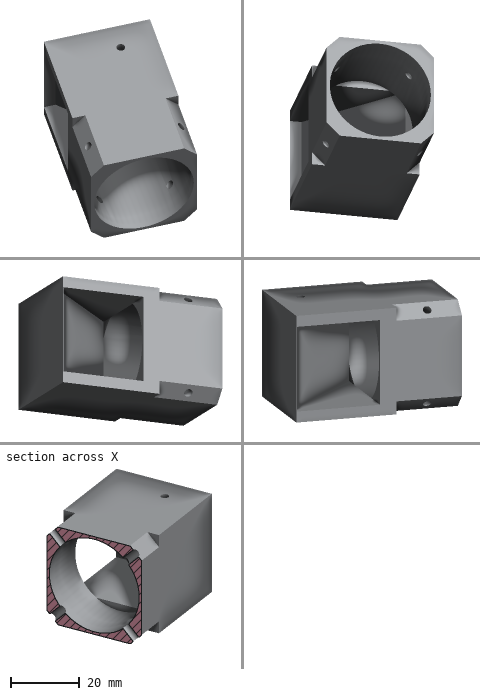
import cadquery as cq

LENGTH = 50.6
WIDTH = 32.0
FOIL_THICKNESS = 0.2
OUTER_X = LENGTH / 2
OUTER_Y = WIDTH / 2
HOUSING_START_X = -OUTER_X + FOIL_THICKNESS

PRISM_LEG = 25.4
PRISM_CENTER_Y = 0.15
PRISM_HALF = PRISM_LEG / 2
PRISM_FRONT_Y = PRISM_CENTER_Y - PRISM_HALF
PRISM_BACK_Y = PRISM_CENTER_Y + PRISM_HALF
CAVITY_END_X = HOUSING_START_X + PRISM_LEG

RELIEF_RADIUS = 1.5
RELIEF_Z = PRISM_HALF - RELIEF_RADIUS

BORE_DIAMETER = 30.0

CHAMFER_LENGTH = 20.0
CHAMFER_LEG = 3.9
SCREW_DIAMETER = 2.55
SCREW_X = OUTER_X - CHAMFER_LENGTH / 2

CLAMP_X = -17.15
CLAMP_Y = 4.9


def make_prism():
    """Right-angle prism with its sloping face toward the window and the bore."""
    return (
        cq.Workplane("XY", origin=(0, 0, -PRISM_HALF))
        .moveTo(HOUSING_START_X, PRISM_FRONT_Y)
        .lineTo(CAVITY_END_X, PRISM_BACK_Y)
        .lineTo(HOUSING_START_X, PRISM_BACK_Y)
        .close()
        .extrude(PRISM_LEG)
    )


def make_foil():
    """Thin square sheet that closes the -X end of the housing."""
    return cq.Workplane("YZ", origin=(-OUTER_X, 0, 0)).rect(WIDTH, WIDTH).extrude(FOIL_THICKNESS)


def make_cavity():
    """Space open at -X and -Y, including the two reliefs in its back wall."""
    cavity = cq.Workplane("XY").box(
        PRISM_LEG, OUTER_Y + PRISM_BACK_Y, PRISM_LEG, centered=(False, False, True)
    ).translate((HOUSING_START_X, -OUTER_Y, 0))
    reliefs = (
        cq.Workplane("YZ", origin=(HOUSING_START_X, 0, 0))
        .pushPoints([(PRISM_BACK_Y, -RELIEF_Z), (PRISM_BACK_Y, RELIEF_Z)])
        .circle(RELIEF_RADIUS)
        .extrude(PRISM_LEG)
    )
    return cavity.union(reliefs)


def make_corner_cutter():
    """Triangular bar that removes the +Y +Z corner at the bore end."""
    return (
        cq.Workplane("YZ", origin=(OUTER_X - CHAMFER_LENGTH, 0, 0))
        .moveTo(OUTER_Y, OUTER_Y)
        .lineTo(OUTER_Y - CHAMFER_LEG, OUTER_Y)
        .lineTo(OUTER_Y, OUTER_Y - CHAMFER_LEG)
        .close()
        .extrude(CHAMFER_LENGTH)
    )


def make_screw_cutter():
    """Radial hole from the bore axis out through the +Y +Z corner."""
    return cq.Workplane(
        cq.Plane(origin=(SCREW_X, 0, 0), xDir=(1, 0, 0), normal=(0, 1, 1))
    ).circle(SCREW_DIAMETER / 2).extrude(WIDTH)


def make_housing():
    """Block with prism cavity, lens bore, chamfered corners and screw holes."""
    housing = cq.Workplane("XY").box(
        LENGTH - FOIL_THICKNESS, WIDTH, WIDTH, centered=(False, True, True)
    ).translate((HOUSING_START_X, 0, 0))
    housing = housing.cut(make_cavity())

    bore = (
        cq.Workplane("YZ", origin=(CAVITY_END_X, 0, 0))
        .circle(BORE_DIAMETER / 2)
        .extrude(OUTER_X - CAVITY_END_X)
    )
    housing = housing.cut(bore)

    corner = make_corner_cutter().union(make_screw_cutter())
    for angle in (0, 90, 180, 270):
        housing = housing.cut(corner.rotate((0, 0, 0), (1, 0, 0), angle))

    clamp_hole = (
        cq.Workplane("XY", origin=(CLAMP_X, CLAMP_Y, PRISM_HALF))
        .circle(SCREW_DIAMETER / 2)
        .extrude(OUTER_Y - PRISM_HALF)
    )
    return housing.cut(clamp_hole)


housing = make_housing()
prism = make_prism()
foil = make_foil()

result = cq.Compound.makeCompound([housing.val(), prism.val(), foil.val()])